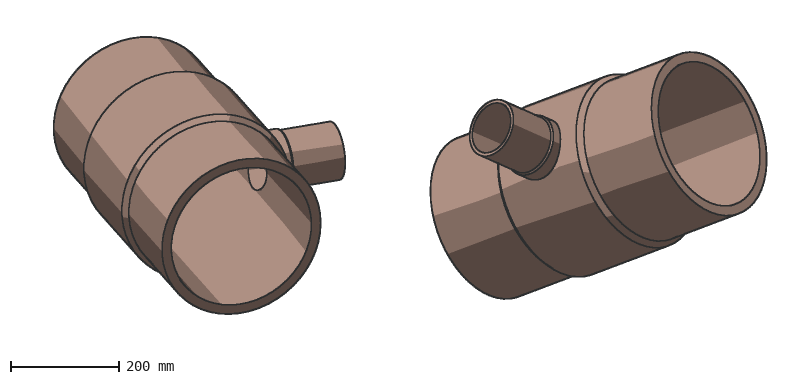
import cadquery as cq

pipe_length = 555.0
pipe_diameter = 314.5
bore_diameter = 277.5

sleeve_length = 216.0
sleeve_diameter = 334.0
sleeve_chamfer_length = 10.5
sleeve_chamfer_depth = (sleeve_diameter - pipe_diameter) / 2

branch_reach = 292.0
branch_diameter = 110.0
branch_bore_diameter = 96.5
collar_reach = 190.0
collar_diameter = 116.5
collar_chamfer = (collar_diameter - branch_diameter) / 2


def cylinder_x(diameter, length):
    """Cylinder along X, centred on the origin."""
    return cq.Workplane("YZ").circle(diameter / 2).extrude(length / 2, both=True)


def cylinder_y(diameter, reach):
    """Cylinder from the main axis outward along +Y."""
    return cq.Workplane("XZ").circle(diameter / 2).extrude(-reach)


def make_sleeve():
    """Sleeve whose ends taper down to the pipe surface."""
    half_length = sleeve_length / 2
    shoulder = half_length - sleeve_chamfer_length
    outer_radius = sleeve_diameter / 2
    end_radius = outer_radius - sleeve_chamfer_depth
    profile = [
        (-half_length, 0),
        (-half_length, end_radius),
        (-shoulder, outer_radius),
        (shoulder, outer_radius),
        (half_length, end_radius),
        (half_length, 0),
    ]
    return cq.Workplane("XY").polyline(profile).close().revolve(360, (0, 0, 0), (1, 0, 0))


def make_branch():
    """Branch pipe joined to its chamfered collar."""
    collar = cylinder_y(collar_diameter, collar_reach).faces(">Y").chamfer(collar_chamfer)
    return cylinder_y(branch_diameter, branch_reach).union(collar)


body = cylinder_x(pipe_diameter, pipe_length).union(make_sleeve()).union(make_branch())

result = body.cut(cylinder_x(bore_diameter, pipe_length)).cut(cylinder_y(branch_bore_diameter, branch_reach))